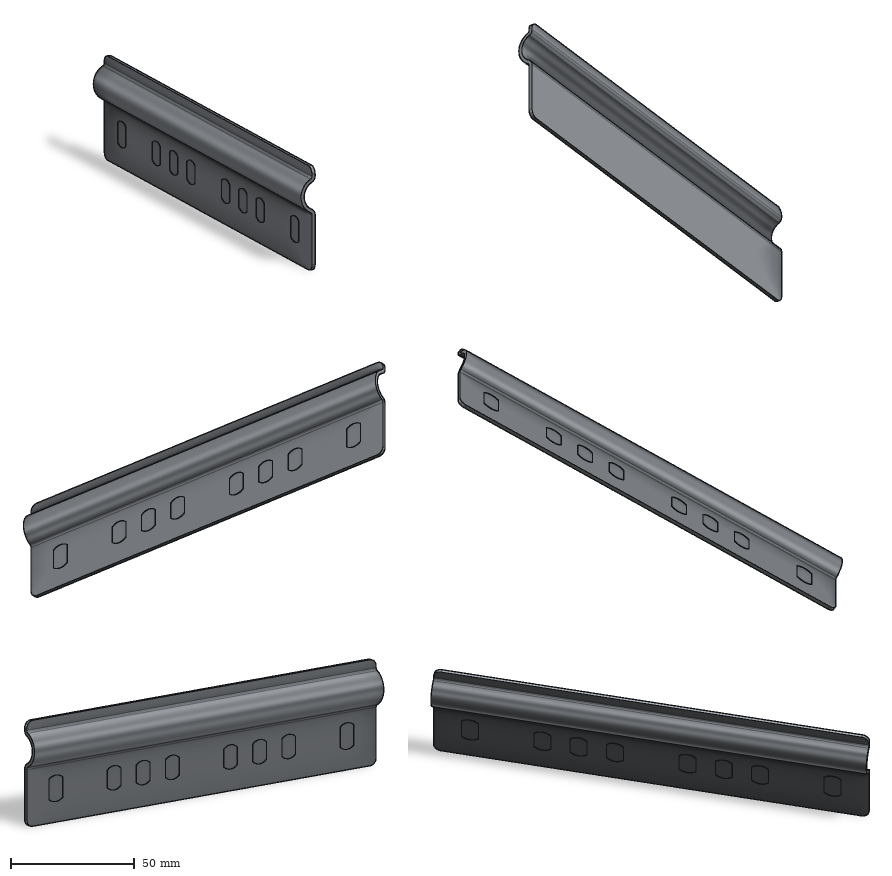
import cadquery as cq
import math

length = 180.0
height = 44.0
depth = 6.5
thickness = 1.5
corner_radius = 3.0

bead_radius = 8.0
bend_radius = 1.2
bead_drop = 11.9

mark_pitch = length / 12
end_mark_steps = (-5, 5)
inner_mark_steps = (-3, -2, -1, 1, 2, 3)
end_mark_diameter = 11.0
inner_mark_diameter = 10.0
mark_width = 7.0
mark_depth = 0.2
mark_height = 14.0

front_y = -thickness
bead_y = bead_radius - depth
bead_z = height - bead_drop
bend_y = front_y - bend_radius
bend_rise = math.sqrt((bead_radius + bend_radius) ** 2 - (bead_y - bend_y) ** 2)
bend_angle = math.asin(bend_rise / (bead_radius + bend_radius))


def bend_point(side, radius, angle):
    """Point on a bend; side is +1 above the bead and -1 below it."""
    y = bend_y + radius * math.cos(angle)
    z = bead_z + side * (bend_rise - radius * math.sin(angle))
    return y, z


def trace_bead(outline, side, bend_surface, bead_surface):
    """Add bend, bead and bend, starting from the given side of the bead."""
    half_angle = bend_angle / 2
    outline = outline.threePointArc(
        bend_point(side, bend_surface, half_angle),
        bend_point(side, bend_surface, bend_angle),
    )
    outline = outline.threePointArc(
        (bead_y - bead_surface, bead_z),
        bend_point(-side, bend_surface, bend_angle),
    )
    return outline.threePointArc(
        bend_point(-side, bend_surface, half_angle),
        bend_point(-side, bend_surface, 0),
    )


def make_sheet():
    back_bend = bend_radius + thickness
    outline = cq.Workplane("YZ").moveTo(0, 0).lineTo(front_y, 0)
    outline = outline.lineTo(*bend_point(-1, bend_radius, 0))
    outline = trace_bead(outline, -1, bend_radius, bead_radius)
    outline = outline.lineTo(front_y, height).lineTo(0, height)
    outline = outline.lineTo(*bend_point(1, back_bend, 0))
    outline = trace_bead(outline, 1, back_bend, bead_radius - thickness)
    sheet = outline.close().extrude(length / 2, both=True)
    return sheet.edges("|Y").edges("<X or >X").edges("<Z or >Z").fillet(corner_radius)


def make_marks(steps, diameter):
    """Cutters reaching mark_depth into the front face."""
    centers = [(step * mark_pitch, mark_height) for step in steps]
    plane = cq.Workplane("XZ", origin=(0, front_y + mark_depth, 0))
    rounds = plane.pushPoints(centers).circle(diameter / 2).extrude(mark_depth)
    flats = plane.pushPoints(centers).rect(mark_width, diameter).extrude(mark_depth)
    return rounds.intersect(flats)


result = make_sheet()
result = result.cut(make_marks(end_mark_steps, end_mark_diameter))
result = result.cut(make_marks(inner_mark_steps, inner_mark_diameter))